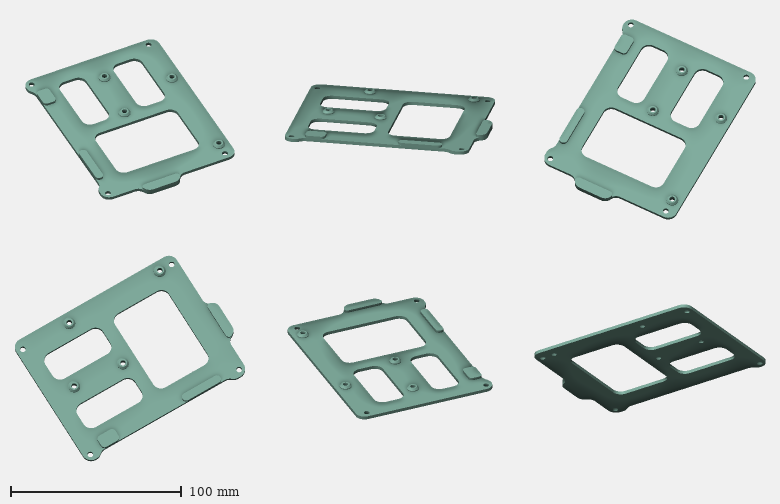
import cadquery as cq
import math

plate_length = 109.9
plate_width = 86.5
plate_thickness = 2.0
total_height = 3.5
corner_radius = 5.5

front_edge_y = 2.8
left_ear_width = 5.9
right_ear_width = 7.1
ear_blend_radius = 5.5

overall_length = 116.0
tab_y_min = 23.7
tab_y_max = 47.9
tab_radius = 5.0

pad_radius = 2.3
front_pads = [(12.1, 24.0, 10.9), (67.9, 93.7, 7.7)]

window_radius = 5.2
left_x, left_x_end = 10.4, 49.9
window_y_min, window_y_max = 16.9, 70.5
windows = [
    (left_x, left_x_end, 52.2, window_y_max),
    (left_x, left_x_end, window_y_min, 34.1),
    (58.1, 95.0, window_y_min, window_y_max),
]

corner_hole_diameter = 3.4
hole_inset = 4.1
hole_right_x = 105.8
hole_rear_y = 80.3

boss_base_diameter = 7.1
boss_top_diameter = 5.0
boss_rim_height = 0.5
boss_hole_diameter = 3.1
boss_centers = [(35.6, 80.0), (97.7, 80.3), (17.7, 44.9), (49.5, 42.3)]


def box_between(x_min, x_max, y_min, y_max, z_min, z_max, radius):
    """Block between the given limits with rounded vertical edges."""
    return (
        cq.Workplane("XY", origin=((x_min + x_max) / 2, (y_min + y_max) / 2, z_min))
        .rect(x_max - x_min, y_max - y_min)
        .extrude(z_max - z_min)
        .edges("|Z")
        .fillet(radius)
    )


def base_plate():
    """Rounded plate whose front edge steps back in S-curves between the ears."""
    half_rise = front_edge_y / 2
    half_run = math.sqrt(2 * ear_blend_radius * half_rise - half_rise**2)
    right_ear_x = plate_length - right_ear_width
    outline = (
        cq.Workplane("XY")
        .moveTo(corner_radius, 0)
        .lineTo(left_ear_width, 0)
        .radiusArc((left_ear_width + half_run, half_rise), -ear_blend_radius)
        .radiusArc((left_ear_width + 2 * half_run, front_edge_y), ear_blend_radius)
        .lineTo(right_ear_x - 2 * half_run, front_edge_y)
        .radiusArc((right_ear_x - half_run, half_rise), ear_blend_radius)
        .radiusArc((right_ear_x, 0), -ear_blend_radius)
        .lineTo(plate_length - corner_radius, 0)
        .radiusArc((plate_length, corner_radius), -corner_radius)
        .lineTo(plate_length, plate_width - corner_radius)
        .radiusArc((plate_length - corner_radius, plate_width), -corner_radius)
        .lineTo(corner_radius, plate_width)
        .radiusArc((0, plate_width - corner_radius), -corner_radius)
        .lineTo(0, corner_radius)
        .radiusArc((corner_radius, 0), -corner_radius)
        .close()
    )
    return outline.extrude(plate_thickness)


def side_tab():
    """Plate-thick tab, blended into the right edge by arcs tangent to its corners."""
    convex_x = overall_length - tab_radius
    concave_x = plate_length + tab_radius
    center_dx = concave_x - convex_x
    center_dy = math.sqrt((2 * tab_radius) ** 2 - center_dx**2)
    top_y = tab_y_max - tab_radius
    bottom_y = tab_y_min + tab_radius
    blend_x = (convex_x + concave_x) / 2
    return (
        cq.Workplane("XY")
        .moveTo(plate_length, bottom_y - center_dy)
        .radiusArc((blend_x, bottom_y - center_dy / 2), tab_radius)
        .radiusArc((overall_length, bottom_y), -tab_radius)
        .lineTo(overall_length, top_y)
        .radiusArc((blend_x, top_y + center_dy / 2), -tab_radius)
        .radiusArc((plate_length, top_y + center_dy), tab_radius)
        .lineTo(plate_length - tab_radius, top_y + center_dy)
        .lineTo(plate_length - tab_radius, bottom_y - center_dy)
        .close()
        .extrude(plate_thickness)
    )


def tab_pad():
    """Raised pad on the tab, with tight inner corners and wide outer ones."""
    inner_block = box_between(
        plate_length, overall_length + tab_radius, tab_y_min, tab_y_max, 0, total_height, pad_radius
    )
    outer_block = box_between(
        plate_length - tab_radius, overall_length, tab_y_min, tab_y_max, 0, total_height, tab_radius
    )
    return inner_block.intersect(outer_block)


def boss():
    """Low screw boss with a conical top and a cylindrical base reaching down through the plate."""
    base_radius = boss_base_diameter / 2
    return (
        cq.Workplane("XZ")
        .lineTo(base_radius, 0)
        .lineTo(base_radius, plate_thickness + boss_rim_height)
        .lineTo(boss_top_diameter / 2, total_height)
        .lineTo(0, total_height)
        .close()
        .revolve(360, (0, 0), (0, 1))
    )


result = base_plate().union(side_tab()).union(tab_pad())

for x_min, x_max, y_max in front_pads:
    result = result.union(
        box_between(x_min, x_max, front_edge_y, y_max, plate_thickness, total_height, pad_radius)
    )

for x_min, x_max, y_min, y_max in windows:
    result = result.cut(box_between(x_min, x_max, y_min, y_max, 0, plate_thickness, window_radius))

corner_holes = [(x, y) for x in (hole_inset, hole_right_x) for y in (hole_inset, hole_rear_y)]
result = result.cut(
    cq.Workplane("XY").pushPoints(corner_holes).circle(corner_hole_diameter / 2).extrude(plate_thickness)
)

for x, y in boss_centers:
    result = result.union(boss().translate((x, y, 0)))
result = result.cut(
    cq.Workplane("XY").pushPoints(boss_centers).circle(boss_hole_diameter / 2).extrude(total_height)
)